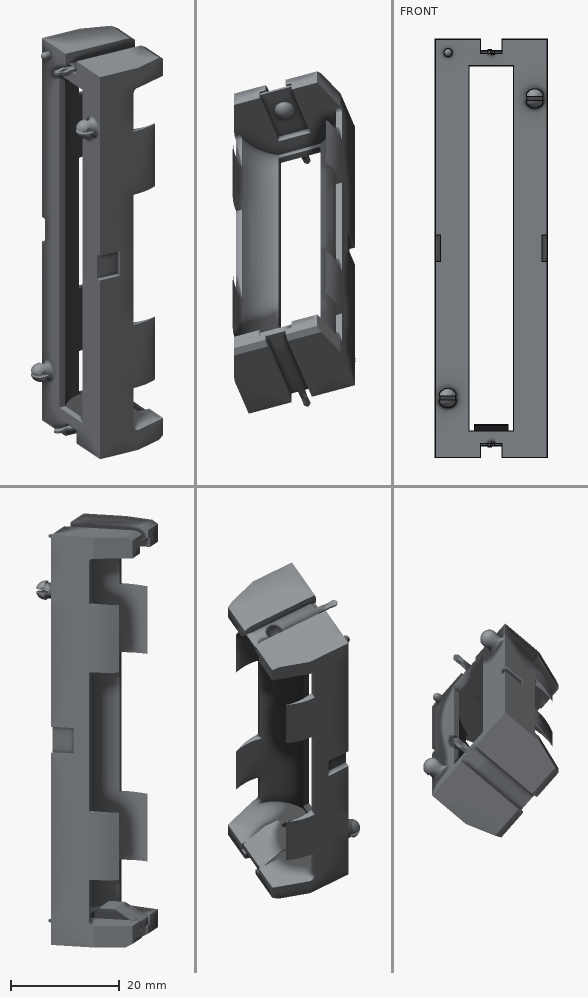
import cadquery as cq
import math


LENGTH = 77.05
WIDTH = 20.65
RAIL_HEIGHT = 7.25
BLOCK_HEIGHT = 14.95
BLOCK_THICKNESS = 4.0
CORNER_RADIUS = 0.9
TAPER_START = 8.25
TAPER_TOP_WIDTH = 16.2
EDGE_BEVEL_RUN = 1.15
EDGE_BEVEL_DROP = 0.6

HALF_LENGTH = LENGTH / 2
HALF_WIDTH = WIDTH / 2
INNER_END = HALF_LENGTH - BLOCK_THICKNESS

CELL_AXIS_Y = 9.8
CELL_RADIUS = 9.5
FLOOR_THICKNESS = 1.2
WINDOW_WIDTH = 8.2
WINDOW_LENGTH = 67.2

CLIP_TIP_Y = 12.6
CLIP_LENGTH = 12.7
CLIP_CENTER_Z = 19.5

NOTCH_DEPTH = 1.0
NOTCH_HEIGHT = 4.3
NOTCH_LENGTH = 4.9

POST_X = 8.0
POST_Z = 27.6
NECK_RADIUS = 1.5
POST_FILLET = 0.8
HEAD_RADIUS = 1.8
HEAD_BASE_Y = -1.55
POST_TIP_Y = -3.55
HEAD_FLAT_WIDTH = 3.1
POST_SLOT_WIDTH = 0.7
POST_SLOT_END_Y = -0.85
NUB_X = -7.9
NUB_Z = 36.0
NUB_RADIUS = 0.8
NUB_STRAIGHT = 0.8

SHEET = 0.5
PLATE_OUTER_Z = 36.4
PLATE_INNER_Z = PLATE_OUTER_Z - SHEET
PLATE_WIDTH = 6.25
PLATE_BOTTOM_Y = 0.85
PLATE_TOP_Y = 14.6
TERMINAL_WIDTH = 1.2
TERMINAL_TIP_Y = -3.55
TERMINAL_POINT = 0.5
BOW_START_Y = -0.2
BOW_END_Y = -2.85
BOW_RISE = 0.2
BUTTON_RADIUS = 1.5
BUTTON_RIM_RADIUS = 0.4
LEAF_TOP_Z = 32.4
LEAF_THICKNESS = 0.2
LEAF_END_Y = 7.2
LEAF_BEND_Y = 10.2
LEAF_FOLD_Z = 34.9

END_SLOT_WIDTH = 3.9
SEAT_BOTTOM_Y = 4.2


def box(x_range, y_range, z_range):
    """Axis-aligned box between the given limits."""
    limits = (x_range, y_range, z_range)
    size = [high - low for low, high in limits]
    corner = cq.Vector(*[low for low, high in limits])
    return cq.Workplane(cq.Solid.makeBox(*size, corner))


def both_ends(shape):
    """The shape at the +Z end together with its mirror image at the -Z end."""
    return shape.union(shape.mirror("XY"))


def centered(width):
    """Limits of a span of the given width about zero."""
    return (-width / 2, width / 2)


def end_block_outline():
    """Cross-section across the cell: straight sides, then leaning in towards the open side."""
    half_top = TAPER_TOP_WIDTH / 2
    return (
        cq.Workplane("XY")
        .moveTo(-HALF_WIDTH, 0)
        .lineTo(HALF_WIDTH, 0)
        .lineTo(HALF_WIDTH, TAPER_START)
        .lineTo(half_top, BLOCK_HEIGHT)
        .lineTo(-half_top, BLOCK_HEIGHT)
        .lineTo(-HALF_WIDTH, TAPER_START)
        .close()
        .extrude(HALF_LENGTH, both=True)
    )


def housing_blank():
    """U-shaped side profile, trimmed by the tapered cross-section."""
    bevel_y = BLOCK_HEIGHT - EDGE_BEVEL_RUN
    bevel_z = HALF_LENGTH - EDGE_BEVEL_DROP
    corner_y = RAIL_HEIGHT + CORNER_RADIUS
    corner_z = INNER_END - CORNER_RADIUS
    side = (
        cq.Workplane("YZ")
        .moveTo(0, -HALF_LENGTH)
        .lineTo(bevel_y, -HALF_LENGTH)
        .lineTo(BLOCK_HEIGHT, -bevel_z)
        .lineTo(BLOCK_HEIGHT, -INNER_END)
        .lineTo(corner_y, -INNER_END)
        .radiusArc((RAIL_HEIGHT, -corner_z), CORNER_RADIUS)
        .lineTo(RAIL_HEIGHT, corner_z)
        .radiusArc((corner_y, INNER_END), CORNER_RADIUS)
        .lineTo(BLOCK_HEIGHT, INNER_END)
        .lineTo(BLOCK_HEIGHT, bevel_z)
        .lineTo(bevel_y, HALF_LENGTH)
        .lineTo(0, HALF_LENGTH)
        .close()
        .extrude(HALF_WIDTH, both=True)
    )
    return side.intersect(end_block_outline())


def cell_cavity():
    """Round cell bore with a flat floor, plus the window through that floor."""
    bore = cq.Workplane("XY").center(0, CELL_AXIS_Y).circle(CELL_RADIUS).extrude(INNER_END, both=True)
    above_floor = box((-WIDTH, WIDTH), (FLOOR_THICKNESS, 2 * BLOCK_HEIGHT), (-LENGTH, LENGTH))
    window = box(centered(WINDOW_WIDTH), (0, CELL_AXIS_Y), centered(WINDOW_LENGTH))
    return bore.intersect(above_floor).union(window)


def contact_seat():
    """Space for one contact in the +Z end block."""
    slot = box(centered(END_SLOT_WIDTH), (0, BLOCK_HEIGHT), (PLATE_OUTER_Z, HALF_LENGTH))
    entry = box(centered(END_SLOT_WIDTH), (0, PLATE_BOTTOM_Y), (PLATE_INNER_Z, HALF_LENGTH))
    groove = box(centered(PLATE_WIDTH), (PLATE_BOTTOM_Y, BLOCK_HEIGHT), (PLATE_INNER_Z, PLATE_OUTER_Z))
    opening = box(centered(PLATE_WIDTH), (SEAT_BOTTOM_Y, BLOCK_HEIGHT), (INNER_END, PLATE_INNER_Z))
    return slot.union(entry).union(groove).union(opening)


def side_notches():
    notch = box((HALF_WIDTH - NOTCH_DEPTH, HALF_WIDTH), (0, NOTCH_HEIGHT), centered(NOTCH_LENGTH))
    return notch.union(notch.mirror("YZ"))


def clip():
    """Clip at +X, +Z, curving in to a sharp tip once the bore is cut through its inside."""
    tip_x = math.sqrt(CELL_RADIUS ** 2 - (CLIP_TIP_Y - CELL_AXIS_Y) ** 2)
    inside_x = TAPER_TOP_WIDTH / 2
    rise = CLIP_TIP_Y - RAIL_HEIGHT
    run = HALF_WIDTH - tip_x
    outer_radius = (rise ** 2 + run ** 2) / (2 * run)
    return (
        cq.Workplane("XY", origin=(0, 0, CLIP_CENTER_Z))
        .moveTo(inside_x, RAIL_HEIGHT)
        .lineTo(inside_x, CLIP_TIP_Y)
        .lineTo(tip_x, CLIP_TIP_Y)
        .radiusArc((HALF_WIDTH, RAIL_HEIGHT), outer_radius)
        .close()
        .extrude(CLIP_LENGTH / 2, both=True)
    )


def clips():
    pair = clip().union(clip().mirror("YZ"))
    return both_ends(pair)


def snap_post(x, z):
    """Split post with a flared root and a domed head, standing on the mounting face."""
    dome_center_y = POST_TIP_Y + HEAD_RADIUS
    dome_mid = HEAD_RADIUS * math.sqrt(0.5)
    post = (
        cq.Workplane("XY")
        .moveTo(0, 0)
        .lineTo(NECK_RADIUS + POST_FILLET, 0)
        .radiusArc((NECK_RADIUS, -POST_FILLET), -POST_FILLET)
        .lineTo(NECK_RADIUS, HEAD_BASE_Y)
        .lineTo(HEAD_RADIUS, HEAD_BASE_Y)
        .lineTo(HEAD_RADIUS, dome_center_y)
        .threePointArc((dome_mid, dome_center_y - dome_mid), (0, POST_TIP_Y))
        .close()
        .revolve(360, (0, 0, 0), (0, 1, 0))
    )
    root_reach = NECK_RADIUS + POST_FILLET
    flat_x = HEAD_FLAT_WIDTH / 2
    side = box((flat_x, root_reach), (POST_TIP_Y, HEAD_BASE_Y), (-root_reach, root_reach))
    slot = box((-root_reach, root_reach), (POST_TIP_Y, POST_SLOT_END_Y), centered(POST_SLOT_WIDTH))
    post = post.cut(side).cut(side.mirror("YZ")).cut(slot)
    return post.translate((x, 0, z))


def locating_nub():
    """Short round pin with a hemispherical end."""
    end = cq.Workplane("XY").sphere(NUB_RADIUS).translate((0, -NUB_STRAIGHT, 0))
    stem = cq.Workplane("XZ").circle(NUB_RADIUS).extrude(NUB_STRAIGHT)
    return stem.union(end).translate((NUB_X, 0, NUB_Z))


def make_housing():
    body = housing_blank().union(clips())
    body = body.cut(cell_cavity()).cut(side_notches()).cut(both_ends(contact_seat()))
    body = body.union(locating_nub())
    for side in (-1, 1):
        body = body.union(snap_post(side * POST_X, side * POST_Z))
    return body


def terminal_half(side):
    """Half of the terminal; the +X half bows inwards and the -X half outwards."""
    bow = -side * BOW_RISE
    bow_mid_y = (BOW_START_Y + BOW_END_Y) / 2

    def face(z):
        """Start, crest and end of the bow on the sheet face that lies at height z."""
        return [(BOW_START_Y, z), (bow_mid_y, z + bow), (BOW_END_Y, z)]

    down = (-1, 0)
    up = (1, 0)
    return (
        cq.Workplane("YZ")
        .moveTo(PLATE_BOTTOM_Y, PLATE_INNER_Z)
        .lineTo(BOW_START_Y, PLATE_INNER_Z)
        .spline(face(PLATE_INNER_Z), tangents=[down, down])
        .lineTo(TERMINAL_TIP_Y, PLATE_INNER_Z)
        .lineTo(TERMINAL_TIP_Y, PLATE_OUTER_Z)
        .lineTo(BOW_END_Y, PLATE_OUTER_Z)
        .spline(face(PLATE_OUTER_Z)[::-1], tangents=[up, up])
        .lineTo(PLATE_BOTTOM_Y, PLATE_OUTER_Z)
        .close()
        .extrude(side * TERMINAL_WIDTH / 2)
    )


def contact_plate():
    """Flat plate with the pointed solder terminal below it."""
    plate = box(centered(PLATE_WIDTH), (PLATE_BOTTOM_Y, PLATE_TOP_Y), (PLATE_INNER_Z, PLATE_OUTER_Z))
    terminal = terminal_half(-1).union(terminal_half(1))
    terminal = terminal.faces("<Y").edges("|Z").chamfer(TERMINAL_POINT)
    return plate.union(terminal)


def make_button_contact():
    """Contact pressed inwards into a hollow hemispherical button."""
    center = (0, CELL_AXIS_Y, PLATE_OUTER_Z)
    outer_radius = BUTTON_RADIUS + SHEET
    dome = cq.Workplane("XY").sphere(outer_radius).translate(center)
    inside = box(centered(PLATE_WIDTH), (0, BLOCK_HEIGHT), (0, PLATE_OUTER_Z))
    hollow = cq.Workplane("XY").sphere(BUTTON_RADIUS).translate(center)
    contact = contact_plate().union(dome.intersect(inside)).cut(hollow)
    rim = cq.selectors.BoxSelector(
        (-outer_radius, CELL_AXIS_Y - outer_radius, PLATE_OUTER_Z - SHEET / 2),
        (outer_radius, CELL_AXIS_Y + outer_radius, PLATE_OUTER_Z + SHEET / 2),
        boundingbox=True,
    )
    return contact.edges(rim).fillet(BUTTON_RIM_RADIUS)


def make_leaf_contact():
    """Contact folded over at its top into a leaf spring that slopes into the cavity."""
    fold_y = PLATE_TOP_Y - SHEET
    leaf = (
        cq.Workplane("YZ")
        .moveTo(LEAF_END_Y, LEAF_TOP_Z)
        .lineTo(LEAF_BEND_Y, LEAF_TOP_Z)
        .lineTo(PLATE_TOP_Y, LEAF_FOLD_Z)
        .lineTo(PLATE_TOP_Y, PLATE_OUTER_Z)
        .lineTo(fold_y, PLATE_OUTER_Z)
        .lineTo(fold_y, LEAF_FOLD_Z + LEAF_THICKNESS)
        .lineTo(LEAF_BEND_Y, LEAF_TOP_Z + LEAF_THICKNESS)
        .lineTo(LEAF_END_Y, LEAF_TOP_Z + LEAF_THICKNESS)
        .close()
        .extrude(PLATE_WIDTH / 2, both=True)
    )
    return contact_plate().union(leaf)


housing = make_housing().solids()
button_contact = make_button_contact().solids()
leaf_contact = make_leaf_contact().mirror("XY").solids()

result = cq.Compound.makeCompound([housing.val(), button_contact.val(), leaf_contact.val()])